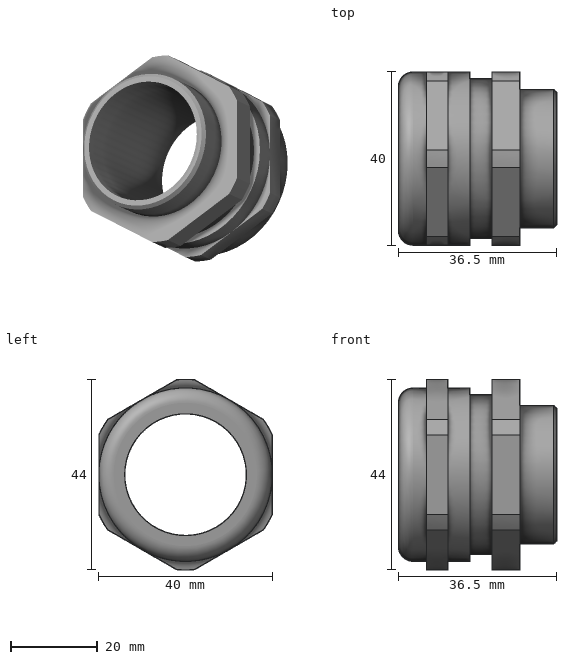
import cadquery as cq
import math

corner_diameter = 44.0
across_flats = 40.0
cap_diameter = across_flats
neck_diameter = 36.9
thread_diameter = 32.0
bore_diameter = 28.0

cap_hex_start = 6.45
cap_hex_end = 11.45
cap_end = 16.5
body_hex_start = 21.55
body_hex_end = 28.0
total_length = 36.5

cap_fillet = 3.48
thread_chamfer = 0.75


def cylinder(diameter, start, end):
    """Solid cylinder on the X axis between two stations."""
    return cq.Workplane("YZ", origin=(start, 0, 0)).circle(diameter / 2).extrude(end - start)


def hex_collar(start, end):
    """Hexagon with flats facing +Y and -Y and its corners turned down."""
    across_corners = across_flats / math.cos(math.radians(30))
    prism = (
        cq.Workplane("YZ", origin=(start, 0, 0))
        .transformed(rotate=(0, 0, 90))
        .polygon(6, across_corners)
        .extrude(end - start)
    )
    return prism.intersect(cylinder(corner_diameter, start, end))


cap = cylinder(cap_diameter, 0, cap_end).faces("<X").edges().fillet(cap_fillet)
neck = cylinder(neck_diameter, cap_end, body_hex_start)
thread = cylinder(thread_diameter, body_hex_end, total_length).faces(">X").edges().chamfer(thread_chamfer)
bore = cylinder(bore_diameter, 0, total_length)

result = (
    cap.union(hex_collar(cap_hex_start, cap_hex_end))
    .union(neck)
    .union(hex_collar(body_hex_start, body_hex_end))
    .union(thread)
    .cut(bore)
)